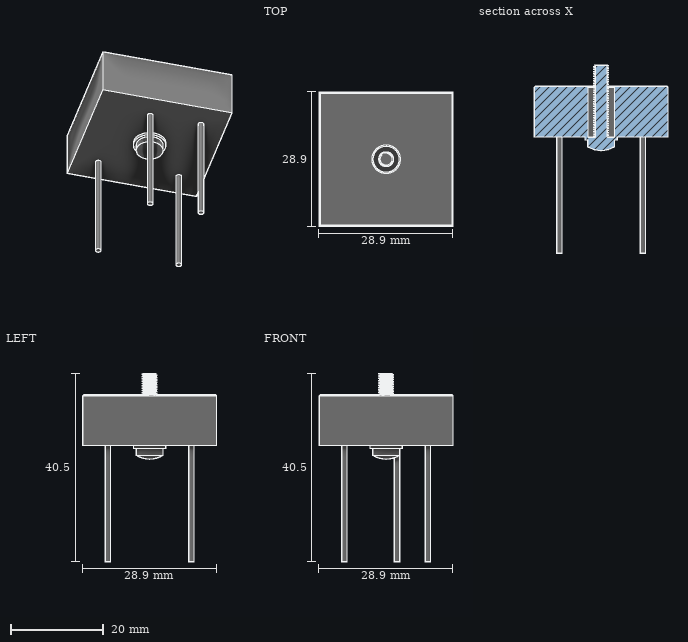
import cadquery as cq
import math

body_side = 28.88
pin_length = 25.0
body_height = 11.0
overall_height = 40.5
body_bottom = pin_length
body_top = body_bottom + body_height
edge_chamfer = 0.3

hole_diameter = 5.6

pin_diameter = 1.2
pin_offset = 9.0
odd_pin_x = 2.35
pin_centers = [
    (-pin_offset, -pin_offset),
    (pin_offset, -pin_offset),
    (-pin_offset, pin_offset),
    (odd_pin_x, pin_offset),
]

washer_diameter = 7.0
washer_thickness = 0.6
head_diameter = 5.8
head_height = 1.45
dome_height = 0.85
thread_diameter = 3.2
core_diameter = 2.6
thread_pitch = 0.5
crest_width = 0.1
root_width = 0.35
root_overlap = 0.1
washer_bottom = body_bottom - washer_thickness
head_bottom = washer_bottom - head_height
shank_length = overall_height - body_bottom


def cylinder(diameter, bottom, height):
    return cq.Workplane("XY").workplane(offset=bottom).circle(diameter / 2).extrude(height)


def make_body():
    block = (
        cq.Workplane("XY")
        .workplane(offset=body_bottom)
        .rect(body_side, body_side)
        .extrude(body_height)
        .faces(">Z")
        .workplane()
        .hole(hole_diameter)
    )
    return block.faces(">Z").chamfer(edge_chamfer)


def make_pins():
    return cq.Workplane("XY").pushPoints(pin_centers).circle(pin_diameter / 2).extrude(pin_length)


def make_head():
    washer = cylinder(washer_diameter, washer_bottom, washer_thickness)
    head_radius = head_diameter / 2
    dome_radius = (head_radius**2 + dome_height**2) / (2 * dome_height)
    dome_center = head_bottom - dome_height + dome_radius
    half_angle = math.asin(head_radius / dome_radius) / 2
    dome_middle = (dome_radius * math.sin(half_angle), dome_center - dome_radius * math.cos(half_angle))
    head = (
        cq.Workplane("XZ")
        .moveTo(0, washer_bottom)
        .lineTo(head_radius, washer_bottom)
        .lineTo(head_radius, head_bottom)
        .threePointArc(dome_middle, (0, head_bottom - dome_height))
        .close()
        .revolve(360, (0, 0, 0), (0, 1, 0))
    )
    return washer.union(head)


def make_shank():
    turns = math.ceil(shank_length / thread_pitch) + 2
    ridge_length = turns * thread_pitch
    ridge_bottom = overall_height + thread_pitch - ridge_length
    core_radius = core_diameter / 2
    crest_radius = thread_diameter / 2
    root_radius = core_radius - root_overlap
    helix = cq.Wire.makeHelix(thread_pitch, ridge_length, core_radius)
    ridge = (
        cq.Workplane("XZ")
        .polyline(
            [
                (root_radius, -root_width / 2),
                (crest_radius, -crest_width / 2),
                (crest_radius, crest_width / 2),
                (root_radius, root_width / 2),
            ]
        )
        .close()
        .sweep(cq.Workplane(helix), isFrenet=True)
    )
    core = cylinder(core_diameter, -thread_pitch, ridge_length + 2 * thread_pitch)
    screw = core.union(ridge).translate((0, 0, ridge_bottom)).rotate((0, 0, 0), (0, 0, 1), 180)
    return screw.intersect(cylinder(washer_diameter, body_bottom, shank_length))


result = make_body().union(make_pins()).union(make_head()).union(make_shank())